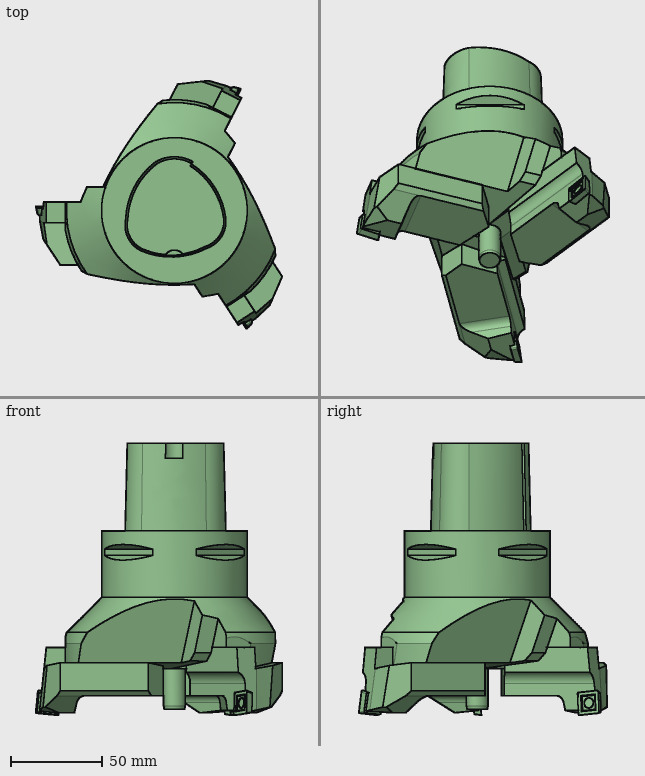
import cadquery as cq
import math


ARM_ANGLES = (0, 123, 243)
FAR = 120.0

SHANK_LENGTH = 48.0
SHANK_WIDTH = 55.0
SHANK_LOBE_RADIUS = 20.2
SHANK_LOBE_OFFSET = 9.3
SHANK_TAPER = 1.2
NOTCH_RADIUS = 5.8
NOTCH_CENTRE_Y = -27.5
NOTCH_DEPTH = 8.1

FLANGE_RADIUS = 40.0
FLANGE_BOTTOM = -36.5
CONE_RADIUS = 59.2
CONE_BOTTOM = -55.75
RIM_RADIUS = 60.8
RIM_Z = -61.8
FOOT_RADIUS = 60.2
HUB_BOTTOM = -75.6
ARM_FLAT_X = -59.8

GROOVE_FLOOR = 35.4
GROOVE_CENTRE_Z = -11.8
GROOVE_FLOOR_WIDTH = 3.4
GROOVE_MOUTH_WIDTH = 8.6

BACK_FACE_Y = -40.9
BACK_FACE_Z = -37.4
BACK_FACE_ANGLE = 18.0
FRONT_FACE_Y = 4.8
STEP_Y = 12.9
STEP_TOP_X = -48.1
STEP_TOP_Z = -46.0
STEP_LEAN = 20.7
STEP_CORNER_Z = -66.9
STEP_CHAMFER = 5.0
STEP_SKEW = 4.2

NOZZLE_RADIUS = 12.01 / 2
NOZZLE_BOTTOM = -97.9
NOZZLE_CHAMFER = 2.0
NOZZLE_TIP_RADIUS = 5.6

BLOCK_TOP = -63.9
BLOCK_BACK_Y = -6.8
SLAB_BACK_Y = -29.9
SEAT_ANGLE = 8.0
SEAT_BACK_Z = HUB_BOTTOM + (BLOCK_BACK_Y - SLAB_BACK_Y) * math.tan(math.radians(SEAT_ANGLE))
SLAB_BOTTOM = -90.5
TOE_BOTTOM = -99.9
TOE_FRONT_BOTTOM = -98.5
SOLE_CORNER = (-63.5, -12.4, -99.8)
SOLE_RISE_OUT = 0.281
SOLE_RISE_BACK = 0.216
RELIEF_Y = 0.8
CHIP_GROOVE_RADIUS = 6.5
CHIP_GROOVE_BOTTOM = -83.7
BACK_CHAMFER = 2.7
TOE_BACK_Y = -12.3
INNER_FRONT_X = -17.0
INNER_TIP = (-6.2, -17.0)
INNER_BACK_X = -14.3
TOE_INNER_TOP_X = -52.6
TOE_INNER_BOTTOM_X = -54.8
TOE_FILLET = 4.6
OUTER_BACK_X = -62.6
OUTER_BACK_SLOPE = 0.66
OUTER_TOP_X = -70.3
OUTER_LEAN = 6.0
FRONT_EDGE_TOP_Y = -8.1
FRONT_EDGE_DRIFT = 0.08
BACK_EDGE_TOP_Y = -20.4
BACK_EDGE_DRIFT = 0.145
CARTRIDGE_LOW = -101.0

INSERT_SIZE = 12.7
INSERT_THICKNESS = 3.97
INSERT_CLEARANCE = 11.0
INSERT_CORNER = 0.8
INSERT_CENTRE = (-69.2, 1.75, -94.38)
INSERT_TURN = 5.5
INSERT_RAKE = 5.0
CHIP_RECESS_SIZE = 8.8
CHIP_RECESS_DEPTH = 0.5
CHIP_RECESS_TAPER = 45.0
SCREW_SINK_DIAMETER = 5.6
SCREW_SINK_DEPTH = 0.3


def at_arm(body, angle):
    return body.rotate((0, 0, 0), (0, 0, 1), angle)


def prism_along_x(points, x_low, x_high):
    """Solid with a (y, z) outline between two x values."""
    return cq.Workplane("YZ").workplane(offset=x_low).polyline(points).close().extrude(x_high - x_low)


def prism_along_z(points, z_low, z_high):
    """Solid with an (x, y) outline between two heights."""
    return cq.Workplane("XY").workplane(offset=z_low).polyline(points).close().extrude(z_high - z_low)


def polar(centre, radius, degrees):
    turn = math.radians(degrees)
    return (centre[0] + radius * math.cos(turn), centre[1] + radius * math.sin(turn))


def lobed_outline(plane, inset):
    """Six arcs: a 60 degree lobe, then the 60 degree flank centred on the opposite lobe."""
    lobe_radius = SHANK_LOBE_RADIUS - inset
    flank_radius = SHANK_WIDTH - SHANK_LOBE_RADIUS - inset
    outline = plane.moveTo(*polar(polar((0, 0), SHANK_LOBE_OFFSET, 90), lobe_radius, 60))
    for lobe_angle in (90, 210, 330):
        lobe = polar((0, 0), SHANK_LOBE_OFFSET, lobe_angle)
        outline = outline.threePointArc(
            polar(lobe, lobe_radius, lobe_angle), polar(lobe, lobe_radius, lobe_angle + 30))
        flank_angle = lobe_angle + 60
        opposite = polar((0, 0), SHANK_LOBE_OFFSET, flank_angle + 180)
        outline = outline.threePointArc(
            polar(opposite, flank_radius, flank_angle), polar(opposite, flank_radius, flank_angle + 30))
    return outline.close()


def make_shank():
    base = lobed_outline(cq.Workplane("XY"), 0)
    shank = lobed_outline(base.workplane(offset=SHANK_LENGTH), SHANK_TAPER).loft(ruled=True)
    notch = (cq.Workplane("XY").workplane(offset=SHANK_LENGTH - NOTCH_DEPTH)
             .center(0, NOTCH_CENTRE_Y).circle(NOTCH_RADIUS).extrude(NOTCH_DEPTH))
    return shank.cut(notch)


def make_gripper_groove():
    mouth = GROOVE_MOUTH_WIDTH / 2
    floor = GROOVE_FLOOR_WIDTH / 2
    return (cq.Workplane("XZ").workplane(offset=-FLANGE_RADIUS)
            .moveTo(GROOVE_FLOOR, GROOVE_CENTRE_Z - floor)
            .lineTo(FLANGE_RADIUS, GROOVE_CENTRE_Z - mouth)
            .lineTo(FLANGE_RADIUS, GROOVE_CENTRE_Z + mouth)
            .lineTo(GROOVE_FLOOR, GROOVE_CENTRE_Z + floor)
            .close().extrude(2 * FLANGE_RADIUS))


def make_behind_back_face():
    """Space behind the leaning back face of an arm."""
    slope = math.tan(math.radians(BACK_FACE_ANGLE))
    top_y = BACK_FACE_Y + BACK_FACE_Z * slope
    low_y = BACK_FACE_Y + (BACK_FACE_Z + FAR) * slope
    return prism_along_x([(top_y, 0), (low_y, -FAR), (-FAR, -FAR), (-FAR, 0)], -FAR, FAR)


def make_ahead_of(y):
    """All the space on the +Y side of an upright plane."""
    return prism_along_z([(-FAR, y), (FAR, y), (FAR, FAR), (-FAR, FAR)], -FAR, 0)


def step_outline(shift):
    """Outline, in x and z, of the space outside the leaning step, shifted outward."""
    lean = math.tan(math.radians(STEP_LEAN))
    top_x = STEP_TOP_X + STEP_TOP_Z * lean - shift
    corner_x = STEP_TOP_X + (STEP_TOP_Z - STEP_CORNER_Z) * lean - shift
    return [(top_x, 0), (corner_x, STEP_CORNER_Z),
            (corner_x + STEP_CHAMFER, STEP_CORNER_Z - STEP_CHAMFER),
            (corner_x + STEP_CHAMFER, -FAR), (-FAR - shift, -FAR), (-FAR - shift, 0)]


def make_ahead_of_front_face():
    """Space ahead of the stepped front face of an arm."""
    step = (cq.Workplane("XZ").workplane(offset=-STEP_Y)
            .polyline(step_outline(0)).close()
            .workplane(offset=STEP_Y - FRONT_FACE_Y)
            .polyline(step_outline(STEP_SKEW)).close().loft(ruled=True))
    return make_ahead_of(STEP_Y).union(step)


def inner_front_x(y):
    """Position of the inner front end face of a cartridge."""
    tip_x, tip_y = INNER_TIP
    return tip_x + (INNER_FRONT_X - tip_x) * (y - tip_y) / (RELIEF_Y - tip_y)


def make_block_slot():
    """Space taken by the raised front block of a cartridge."""
    return prism_along_z(
        [(-FAR, FRONT_FACE_Y), (inner_front_x(FRONT_FACE_Y), FRONT_FACE_Y),
         (inner_front_x(BLOCK_BACK_Y), BLOCK_BACK_Y), (-FAR, BLOCK_BACK_Y)], -FAR, BLOCK_TOP)


def make_below_seat():
    """Space under the tilted seat, from the raised block to beyond the back of the arm."""
    back_z = HUB_BOTTOM + (BLOCK_BACK_Y + FAR) * math.tan(math.radians(SEAT_ANGLE))
    return prism_along_x(
        [(BLOCK_BACK_Y, HUB_BOTTOM), (BLOCK_BACK_Y, -FAR), (-FAR, -FAR), (-FAR, back_z)], -FAR, FAR)


def make_housing():
    body = (cq.Workplane("XZ")
            .polyline([(0, 0), (FLANGE_RADIUS, 0), (FLANGE_RADIUS, FLANGE_BOTTOM),
                       (CONE_RADIUS, CONE_BOTTOM), (RIM_RADIUS, RIM_Z), (FOOT_RADIUS, HUB_BOTTOM),
                       (0, HUB_BOTTOM)])
            .close().revolve(360, (0, 0, 0), (0, 1, 0)))
    for quarter in range(4):
        body = body.cut(at_arm(make_gripper_groove(), 45 + 90 * quarter))

    for index, angle in enumerate(ARM_ANGLES):
        following = ARM_ANGLES[(index + 1) % len(ARM_ANGLES)]
        gullet = at_arm(make_behind_back_face(), angle).intersect(
            at_arm(make_ahead_of_front_face(), following))
        body = body.cut(gullet)
        seat = at_arm(make_below_seat(), angle).intersect(
            at_arm(make_ahead_of(FRONT_FACE_Y), following))
        body = body.cut(seat)
    for angle in ARM_ANGLES:
        arm_flat = prism_along_z(
            [(-FAR, -FLANGE_RADIUS), (ARM_FLAT_X, -FLANGE_RADIUS),
             (ARM_FLAT_X, FLANGE_RADIUS), (-FAR, FLANGE_RADIUS)], -FAR, FLANGE_BOTTOM)
        body = body.cut(at_arm(arm_flat.union(make_block_slot()), angle))

    nozzle = (cq.Workplane("XZ")
              .polyline([(0, RIM_Z), (NOZZLE_RADIUS, RIM_Z),
                         (NOZZLE_RADIUS, NOZZLE_BOTTOM + NOZZLE_CHAMFER),
                         (NOZZLE_TIP_RADIUS, NOZZLE_BOTTOM), (0, NOZZLE_BOTTOM)])
              .close().revolve(360, (0, 0, 0), (0, 1, 0)))
    return body.union(nozzle).union(make_shank())


def make_insert_blank():
    """Insert without its recesses, rake face up at the origin."""
    return (cq.Workplane("XY").rect(INSERT_SIZE, INSERT_SIZE)
            .extrude(-INSERT_THICKNESS, taper=INSERT_CLEARANCE)
            .edges("not #Z").fillet(INSERT_CORNER))


def place_insert(body):
    return (body.rotate((0, 0, 0), (1, 0, 0), -90)
            .rotate((0, 0, 0), (0, 1, 0), INSERT_TURN)
            .rotate((0, 0, 0), (1, 0, 0), INSERT_RAKE)
            .translate(INSERT_CENTRE))


def make_insert():
    recess = (cq.Workplane("XY").rect(CHIP_RECESS_SIZE, CHIP_RECESS_SIZE)
              .extrude(-CHIP_RECESS_DEPTH, taper=CHIP_RECESS_TAPER))
    sink = (cq.Workplane("XY").circle(SCREW_SINK_DIAMETER / 2)
            .extrude(-CHIP_RECESS_DEPTH - SCREW_SINK_DEPTH))
    return place_insert(make_insert_blank().cut(recess).cut(sink))


def cartridge_plan(z):
    """Plan outline at a height: leaning outer faces, upright back and inner end faces."""
    drop = BLOCK_TOP - z
    outer_x = OUTER_TOP_X - drop * math.tan(math.radians(OUTER_LEAN))
    front_edge_y = FRONT_EDGE_TOP_Y + FRONT_EDGE_DRIFT * drop
    back_edge_y = BACK_EDGE_TOP_Y + BACK_EDGE_DRIFT * drop
    back_edge_x = OUTER_BACK_X + OUTER_BACK_SLOPE * (SLAB_BACK_Y - back_edge_y)
    return [(inner_front_x(FRONT_FACE_Y), FRONT_FACE_Y), INNER_TIP, (INNER_BACK_X, SLAB_BACK_Y),
            (OUTER_BACK_X, SLAB_BACK_Y), (back_edge_x, back_edge_y),
            (outer_x, front_edge_y), (outer_x, FRONT_FACE_Y)]


def make_cartridge():
    envelope = (cq.Workplane("XY").workplane(offset=CARTRIDGE_LOW)
                .polyline(cartridge_plan(CARTRIDGE_LOW)).close()
                .workplane(offset=BLOCK_TOP - CARTRIDGE_LOW)
                .polyline(cartridge_plan(BLOCK_TOP)).close().loft(ruled=True))

    groove_top = CHIP_GROOVE_BOTTOM + math.sqrt(
        CHIP_GROOVE_RADIUS ** 2 - (CHIP_GROOVE_RADIUS - FRONT_FACE_Y + RELIEF_Y) ** 2)
    groove_turn = math.asin((groove_top - CHIP_GROOVE_BOTTOM) / CHIP_GROOVE_RADIUS) / 2
    groove_middle = (RELIEF_Y + CHIP_GROOVE_RADIUS * (1 - math.cos(groove_turn)),
                     CHIP_GROOVE_BOTTOM + CHIP_GROOVE_RADIUS * math.sin(groove_turn))
    profile = (cq.Workplane("YZ").workplane(offset=-FAR)
               .moveTo(FRONT_FACE_Y, BLOCK_TOP)
               .lineTo(BLOCK_BACK_Y, BLOCK_TOP)
               .lineTo(BLOCK_BACK_Y, HUB_BOTTOM)
               .lineTo(SLAB_BACK_Y, SEAT_BACK_Z)
               .lineTo(SLAB_BACK_Y, SLAB_BOTTOM + BACK_CHAMFER)
               .lineTo(SLAB_BACK_Y + BACK_CHAMFER, SLAB_BOTTOM)
               .lineTo(TOE_BACK_Y, TOE_BOTTOM)
               .lineTo(RELIEF_Y, TOE_FRONT_BOTTOM)
               .lineTo(RELIEF_Y, CHIP_GROOVE_BOTTOM)
               .threePointArc(groove_middle, (FRONT_FACE_Y, groove_top))
               .close().extrude(FAR))

    under_slab = (cq.Workplane("XZ").workplane(offset=-FAR)
                  .polyline([(TOE_INNER_TOP_X, SLAB_BOTTOM), (0, SLAB_BOTTOM), (0, TOE_BOTTOM),
                             (TOE_INNER_BOTTOM_X, TOE_BOTTOM)])
                  .close().extrude(2 * FAR))
    under_slab = under_slab.edges(cq.NearestToPointSelector((TOE_INNER_TOP_X, 0, SLAB_BOTTOM)))
    under_slab = under_slab.fillet(TOE_FILLET)
    under_corner = (cq.Workplane(cq.Plane(SOLE_CORNER, (0, 1, -SOLE_RISE_BACK),
                                          (-SOLE_RISE_OUT, -SOLE_RISE_BACK, -1)))
                    .rect(FAR, FAR).extrude(FAR))
    cartridge = envelope.intersect(profile).cut(under_slab).cut(under_corner)
    return cartridge.cut(place_insert(make_insert_blank()))


housing = make_housing()
cartridge = make_cartridge()
insert = make_insert()
cartridges = [at_arm(cartridge, angle) for angle in ARM_ANGLES]
inserts = [at_arm(insert, angle) for angle in ARM_ANGLES]

result = cq.Compound.makeCompound(
    [body.solids().val() for body in [housing] + cartridges + inserts])